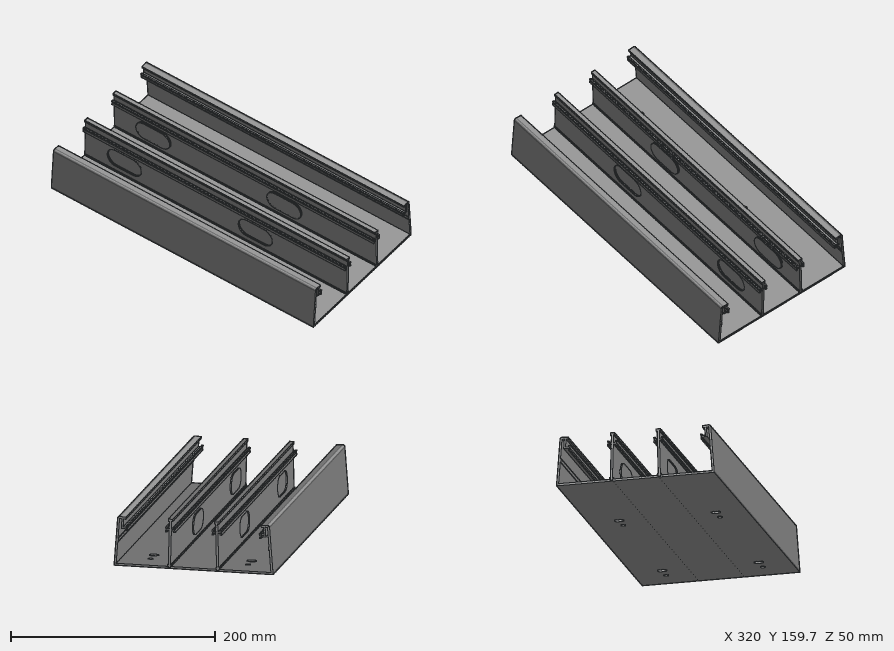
import cadquery as cq
import math

LENGTH = 320.0
WIDTH = 159.7
HEIGHT = 50.0
WALL = 2.08
EACH_SIDE = (1, -1)

ARM_THICKNESS = 1.5
BARB_WIDTH = 1.5
BARB_HEIGHT = 4.8
BARB_NOTCH = 0.48

SIDE_LEAN = 4.3
SIDE_TOP = 49.5
FLOOR_EDGE = 1.3
FLANGE_REACH = 8.3
SHOULDER_RADIUS = 2.2
STEM_OFFSET = 4.5
STEM_THICKNESS = 1.75
STEM_DROP = 11.0
SIDE_ARM_REACH = 11.0
RIDGE_LEVEL = 25.0
RIDGE_HEIGHT = 4.0
RIDGE_DEPTH = 0.48

FIXING_PITCH = 160.0
FIXING_COUNT = 2
FIXING_Y = 49.0
SLOT_X = -40.0
SLOT_WIDTH = 6.0
SLOT_LENGTH = 9.3
HOLE_X = -25.0
HOLE_DIAMETER = 4.8

DIVIDER_Y = 24.3
DIVIDER_LEAN = 1.4
DIVIDER_THICKNESS = 2.2
DIVIDER_BOTTOM = 1.0
FOOT_TOP = 4.0
FOOT_FLARE = 0.5
HEAD_WIDTH = 4.5
HEAD_HEIGHT = 2.2
DIVIDER_ARM_LEVEL = 39.0
DIVIDER_ARM_REACH = 4.8

KNOCKOUT_X = -112.0
KNOCKOUT_PITCH = 160.0
KNOCKOUT_COUNT = 2
KNOCKOUT_LEVEL = 19.2
KNOCKOUT_LENGTH = 41.5
KNOCKOUT_HEIGHT = 20.8
KNOCKOUT_SHIFT = 1.3


def bar(points):
    """Extrude a (Y, Z) outline over the full length."""
    return cq.Workplane("YZ").polyline(points).close().extrude(LENGTH / 2, both=True)


def box_bar(y_start, y_end, z_start, z_end):
    """Full-length bar with a rectangular section."""
    return bar([(y_start, z_start), (y_end, z_start), (y_end, z_end), (y_start, z_end)])


def clip_arm(y_root, y_tip, level):
    """Horizontal arm from y_root to y_tip, ending in a barb with a notched tip."""
    outward = math.copysign(1, y_tip - y_root)
    y_barb = y_tip - outward * BARB_WIDTH
    top = level + BARB_HEIGHT / 2
    bottom = level - BARB_HEIGHT / 2
    arm = box_bar(y_root, y_barb, level - ARM_THICKNESS / 2, level + ARM_THICKNESS / 2)
    barb = bar([
        (y_barb, bottom),
        (y_tip, bottom),
        (y_tip - outward * BARB_NOTCH, level),
        (y_tip, top),
        (y_barb, top),
    ])
    return arm.union(barb)


def side_wall():
    """Wall on the +Y side, drawn upright with its outer foot at the origin, then leaned inwards."""
    lean = math.radians(SIDE_LEAN)
    arc_centre_rise = SIDE_TOP - FLOOR_EDGE - SHOULDER_RADIUS
    arc_level = (arc_centre_rise + SHOULDER_RADIUS * math.sin(lean)) / math.cos(lean)
    top = arc_level + SHOULDER_RADIUS
    arc_inset = SHOULDER_RADIUS * (1 - math.sqrt(0.5))
    shell = (
        cq.Workplane("YZ")
        .moveTo(0, 0)
        .lineTo(0, arc_level)
        .threePointArc((-arc_inset, top - arc_inset), (-SHOULDER_RADIUS, top))
        .lineTo(-FLANGE_REACH, top)
        .lineTo(-FLANGE_REACH, top - WALL)
        .lineTo(-WALL, top - WALL)
        .lineTo(-WALL, RIDGE_LEVEL + RIDGE_HEIGHT / 2)
        .lineTo(-WALL - RIDGE_DEPTH, RIDGE_LEVEL + RIDGE_HEIGHT / 2)
        .lineTo(-WALL - RIDGE_DEPTH, RIDGE_LEVEL - RIDGE_HEIGHT / 2)
        .lineTo(-WALL, RIDGE_LEVEL - RIDGE_HEIGHT / 2)
        .lineTo(-WALL, 0)
        .close()
        .extrude(LENGTH / 2, both=True)
    )
    arm_level = top - STEM_DROP
    stem = box_bar(
        -STEM_OFFSET - STEM_THICKNESS, -STEM_OFFSET, arm_level - ARM_THICKNESS / 2, top - WALL
    )
    arm = clip_arm(-STEM_OFFSET, -SIDE_ARM_REACH, arm_level)
    wall = shell.union(stem).union(arm)
    return wall.rotate((0, 0, 0), (1, 0, 0), SIDE_LEAN).translate((0, WIDTH / 2, FLOOR_EDGE))


def fixing_holes():
    """Cutters for the slots and round holes through the floor."""
    steps = [index * FIXING_PITCH for index in range(FIXING_COUNT)]
    places = [(step, side * FIXING_Y) for step in steps for side in EACH_SIDE]
    slots = (
        cq.Workplane("XY")
        .pushPoints([(SLOT_X + x, y) for x, y in places])
        .slot2D(SLOT_LENGTH, SLOT_WIDTH, 90)
        .extrude(WALL)
    )
    holes = (
        cq.Workplane("XY")
        .pushPoints([(HOLE_X + x, y) for x, y in places])
        .circle(HOLE_DIAMETER / 2)
        .extrude(WALL)
    )
    return slots.union(holes)


def on_side(body, side):
    """Place a body made for the +Y side on the given side."""
    return body if side > 0 else body.mirror("XZ")


def place_divider_part(part):
    """Lean an upright part of the +Y divider inwards and move it to its place."""
    return part.rotate((0, 0, 0), (1, 0, 0), DIVIDER_LEAN).translate((0, DIVIDER_Y, 0))


def upright_knockout(index, shift):
    """Rounded slab as thick as the divider, moved inwards by shift."""
    return (
        cq.Workplane("XZ", origin=(0, DIVIDER_THICKNESS / 2 - shift, 0))
        .center(KNOCKOUT_X + index * KNOCKOUT_PITCH, KNOCKOUT_LEVEL)
        .slot2D(KNOCKOUT_LENGTH, KNOCKOUT_HEIGHT)
        .extrude(DIVIDER_THICKNESS)
    )


def make_divider():
    """Divider on the +Y side, with openings for its knockouts."""
    half = DIVIDER_THICKNESS / 2
    half_foot = half + FOOT_FLARE
    half_head = HEAD_WIDTH / 2
    lean = math.radians(DIVIDER_LEAN)
    top = (HEIGHT - half_head * math.sin(lean)) / math.cos(lean)
    divider = box_bar(-half, half, DIVIDER_BOTTOM, top - HEAD_HEIGHT)
    divider = divider.union(box_bar(-half_foot, half_foot, WALL, FOOT_TOP))
    head = box_bar(-half_head, half_head, top - HEAD_HEIGHT, top)
    divider = divider.union(head)
    for side in EACH_SIDE:
        divider = divider.union(clip_arm(0, side * DIVIDER_ARM_REACH, DIVIDER_ARM_LEVEL))
    for index in range(KNOCKOUT_COUNT):
        divider = divider.cut(upright_knockout(index, 0))
    return place_divider_part(divider)


def make_knockout(index):
    """Knockout of the +Y divider, pushed inwards."""
    return place_divider_part(upright_knockout(index, KNOCKOUT_SHIFT))


def make_channel():
    """Floor with both side walls, fixing holes and grooves for the dividers."""
    half_floor = (WIDTH - WALL) / 2
    channel = box_bar(-half_floor, half_floor, 0, WALL)
    channel = channel.union(box_bar(-WIDTH / 2, WIDTH / 2, 0, FLOOR_EDGE))
    for side in EACH_SIDE:
        channel = channel.union(on_side(side_wall(), side))
    channel = channel.cut(fixing_holes())
    for side in EACH_SIDE:
        channel = channel.cut(on_side(make_divider(), side))
    return channel


channel = make_channel()
dividers = [on_side(make_divider(), side) for side in EACH_SIDE]
knockouts = [
    on_side(make_knockout(index), side) for side in EACH_SIDE for index in range(KNOCKOUT_COUNT)
]

result = cq.Compound.makeCompound(
    [body.solids().val() for body in [channel, *dividers, *knockouts]]
)